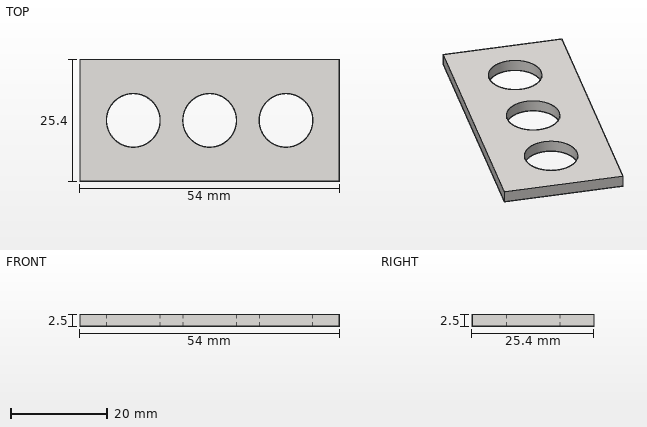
import cadquery as cq

plate_length = 53.975
plate_width = 25.4
plate_thickness = 2.5

hole_diameter = 11.1125
hole_count = 3
hole_spacing = 15.875


def make_plate():
    """Plate centred on the origin in X and Y, with its underside at Z = 0."""
    return cq.Workplane("XY").box(
        plate_length, plate_width, plate_thickness, centered=(True, True, False)
    )


def cut_hole_row(plate):
    """Cut the row of through holes, centred on the plate along X."""
    return (
        plate.faces(">Z")
        .workplane(origin=(0, 0, plate_thickness))
        .rarray(hole_spacing, plate_width, hole_count, 1)
        .hole(hole_diameter)
    )


result = cut_hole_row(make_plate())